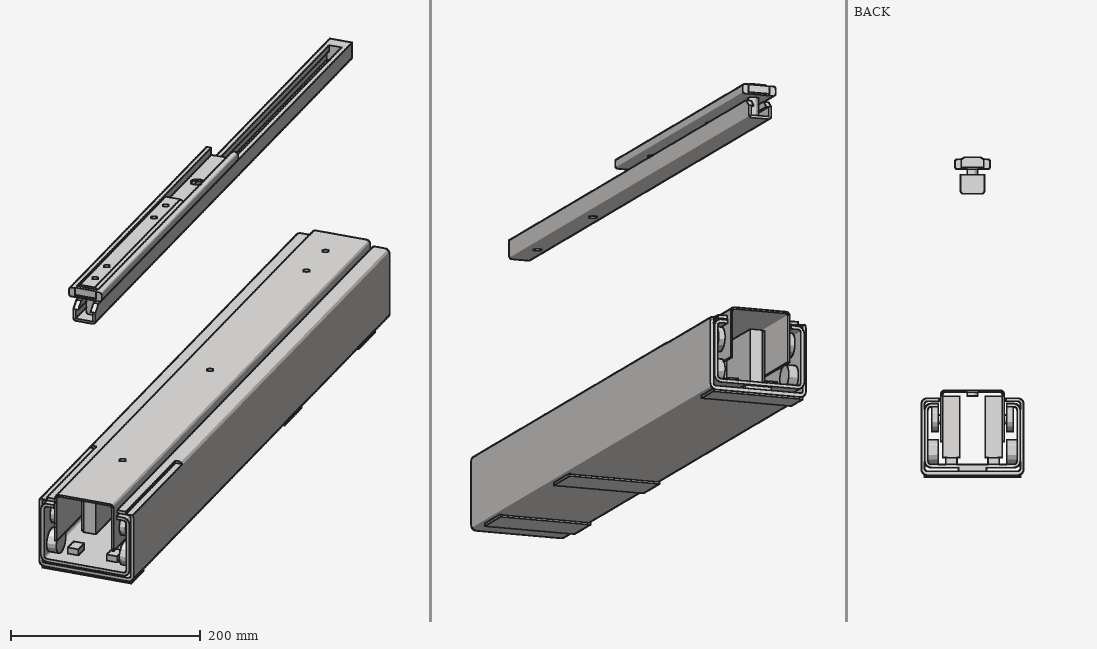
import cadquery as cq

TOTAL_LENGTH = 705.0
TOTAL_HEIGHT = 337.0
BACK_Y = TOTAL_LENGTH / 2
FRONT_Y = -TOTAL_LENGTH / 2

HOUSING_WIDTH = 108.0
HOUSING_FRONT_Y = -347.0
HOUSING_TOP = 83.0
HOUSING_WALL = 3.5
HOUSING_FLOOR = 4.0
HOUSING_RADIUS = 6.0
LIP_OPENING = 70.5
NOTCH_BACK_Y = -211.5
NOTCH_BOTTOM = 80.5
NOTCH_INNER_X = 45.0
FOOT_HEIGHT = 2.0
FOOT_WIDTH = 101.5
FOOT_SPANS = [(274.5, 321.0), (73.0, 119.0), (-346.0, -312.5)]

LINER_WIDTH = HOUSING_WIDTH - 2 * HOUSING_WALL
LINER_FRONT_Y = -350.5
LINER_BOTTOM = 10.0
LINER_TOP = 77.5
LINER_WALL = 3.5
LINER_RADIUS = 7.0
LINER_OPENING = 72.0
PAD_WIDTH = 29.5
LUG_INNER_X = 16.0
LUG_OUTER_X = 28.0
LUG_TOP = 20.5
LUG_SPAN = (-330.0, -314.0)

CHANNEL_WIDTH = 67.0
CHANNEL_TOP = 92.0
CHANNEL_BOTTOM = 37.5
CHANNEL_WALL = 2.0
CHANNEL_RADIUS = 5.0
CHANNEL_BACK_Y = 348.5
BOSS_DIAMETER = 11.0
BOSS_HEIGHT = 4.0
CHANNEL_HOLE_DIAMETER = 7.0
CHANNEL_HOLE_YS = [-248.0, -9.0, 254.0, 306.0]

ROLLER_DIAMETER = 26.0
ROLLER_INNER_X = 36.0
ROLLER_OUTER_X = 43.0
ROLLER_Y = -330.0
AXLE_DIAMETER = 9.0
LOWER_ROLLER_Z = LINER_BOTTOM + LINER_WALL + ROLLER_DIAMETER / 2
UPPER_ROLLER_Z = LINER_TOP - LINER_WALL - ROLLER_DIAMETER / 2

BLOCK_INNER_X = 13.5
BLOCK_OUTER_X = CHANNEL_WIDTH / 2 - CHANNEL_WALL
BLOCK_FRONT_Y = -289.0
BLOCK_BOTTOM = 20.5
BLOCK_TOP = 85.0
BLOCK_CHAMFER = 4.0

RAIL_WIDTH = 25.5
RAIL_BOTTOM = 298.5
RAIL_TOP = 319.0
RAIL_WALL = 3.0
RAIL_RADIUS = 3.5
RAIL_OPENING = 14.0
RAIL_LIP_DEPTH = 7.0
RAIL_PLUG_LENGTH = 15.5
RAIL_RAMP_LENGTH = 8.5
RAIL_HOLE_DIAMETER = 9.0
RAIL_HOLE_YS = [298.0, 136.0]

SLIDE_WIDTH = 37.5
SLIDE_BOTTOM = 324.5
SLIDE_TOP = 335.0
SLIDE_FLOOR = 2.0
SLIDE_RADIUS = 3.0
SLIDE_BACK_Y = 22.5
SLIDE_FRONT_Y = -350.0
TRACK_WIDTH = 24.0
TRACK_HOLE_DIAMETER = 14.0
TRACK_HOLE_Y = -44.5
PLATE_BACK_Y = -111.0
PLATE_FRONT_Y = -344.0
PLATE_TOP_WIDTH = 17.0
STOP_LENGTH = 4.0
PLATE_HOLE_DIAMETER = 6.5
PLATE_HOLE_DEPTH = 5.5
PLATE_HOLE_YS = [-130.5, -162.0, -291.0, -323.0]
STUD_DIAMETER = 11.0
STUD_YS = [-209.5, -332.0]


def block(x_span, y_span, z_span):
    """Axis-parallel block between pairs of coordinates."""
    (x0, x1), (y0, y1), (z0, z1) = x_span, y_span, z_span
    return cq.Workplane("XY").box(x1 - x0, y1 - y0, z1 - z0, centered=False).translate((x0, y0, z0))


def wide_block(width, y_span, z_span):
    """Block centred on X = 0."""
    return block((-width / 2, width / 2), y_span, z_span)


def upright_cylinder(diameter, y, z_span):
    """Vertical cylinder on the plane of symmetry."""
    bottom, top = z_span
    return cq.Workplane("XY", origin=(0, y, bottom)).circle(diameter / 2).extrude(top - bottom)


def cross_cylinder(diameter, x_span, y, z):
    """Cylinder along X."""
    return cq.Workplane("YZ", origin=(x_span[0], y, z)).circle(diameter / 2).extrude(x_span[1] - x_span[0])


def on_side(shape, mirrored):
    """Shape as built on the +X side, or its mirror image on the -X side."""
    return shape.mirror("YZ") if mirrored else shape


def make_roller(x_span, z):
    """Roller disc on the +X side."""
    return cross_cylinder(ROLLER_DIAMETER, x_span, ROLLER_Y, z)


def lipped_channel(width, y_span, z_span, wall, floor, radius, opening):
    """Rounded sheet channel along Y with a top slot between two inward lips."""
    bottom, top = z_span
    tube = wide_block(width, y_span, z_span).edges("|Y").fillet(radius)
    hollow = wide_block(width - 2 * wall, y_span, (bottom + floor, top - wall))
    hollow = hollow.edges("|Y").fillet(radius - wall)
    slot = wide_block(opening, y_span, (top - 2 * wall, top))
    return tube.cut(hollow).cut(slot)


def make_housing():
    body = lipped_channel(
        HOUSING_WIDTH,
        (HOUSING_FRONT_Y, BACK_Y),
        (FOOT_HEIGHT, HOUSING_TOP),
        HOUSING_WALL,
        HOUSING_FLOOR,
        HOUSING_RADIUS,
        LIP_OPENING,
    )
    for x_span in [(-HOUSING_WIDTH / 2, -NOTCH_INNER_X), (NOTCH_INNER_X, HOUSING_WIDTH / 2)]:
        body = body.cut(block(x_span, (HOUSING_FRONT_Y, NOTCH_BACK_Y), (NOTCH_BOTTOM, HOUSING_TOP)))
    for y_span in FOOT_SPANS:
        body = body.union(wide_block(FOOT_WIDTH, y_span, (0, FOOT_HEIGHT + HOUSING_FLOOR / 2)))
    return body


def make_liner():
    y_span = (LINER_FRONT_Y, BACK_Y)
    body = lipped_channel(
        LINER_WIDTH, y_span, (LINER_BOTTOM, LINER_TOP), LINER_WALL, LINER_WALL, LINER_RADIUS, LINER_OPENING
    )
    pad_span = (HOUSING_FRONT_Y, BACK_Y)
    body = body.union(wide_block(PAD_WIDTH, pad_span, (FOOT_HEIGHT + HOUSING_FLOOR, LINER_BOTTOM)))
    wall_x = LINER_WIDTH / 2 - LINER_WALL / 2
    for mirrored in (False, True):
        body = body.union(on_side(make_roller((ROLLER_INNER_X, wall_x), LOWER_ROLLER_Z), mirrored))
        lug = block((LUG_INNER_X, LUG_OUTER_X), LUG_SPAN, (LINER_BOTTOM + LINER_WALL / 2, LUG_TOP))
        body = body.union(on_side(lug, mirrored))
    return body


def make_inner_channel():
    y_span = (FRONT_Y, CHANNEL_BACK_Y)
    roof_underside = CHANNEL_TOP - CHANNEL_WALL
    body = wide_block(CHANNEL_WIDTH, y_span, (CHANNEL_BOTTOM, CHANNEL_TOP))
    body = body.edges("|Y and >Z").fillet(CHANNEL_RADIUS)
    hollow = wide_block(CHANNEL_WIDTH - 2 * CHANNEL_WALL, y_span, (CHANNEL_BOTTOM, roof_underside))
    body = body.cut(hollow.edges("|Y and >Z").fillet(CHANNEL_RADIUS - CHANNEL_WALL))
    for y in CHANNEL_HOLE_YS:
        boss_bottom = roof_underside - BOSS_HEIGHT
        body = body.union(upright_cylinder(BOSS_DIAMETER, y, (boss_bottom, roof_underside)))
        body = body.cut(upright_cylinder(CHANNEL_HOLE_DIAMETER, y, (boss_bottom, CHANNEL_TOP)))
    axle_span = (CHANNEL_WIDTH / 2 - CHANNEL_WALL, ROLLER_INNER_X)
    axle = cross_cylinder(AXLE_DIAMETER, axle_span, ROLLER_Y, UPPER_ROLLER_Z)
    roller = axle.union(make_roller((ROLLER_INNER_X, ROLLER_OUTER_X), UPPER_ROLLER_Z))
    for mirrored in (False, True):
        body = body.union(on_side(roller, mirrored))
    return body


def make_side_block(mirrored):
    """Plain bar against the channel wall, chamfered at its outer front edge."""
    bar = block((BLOCK_INNER_X, BLOCK_OUTER_X), (BLOCK_FRONT_Y, CHANNEL_BACK_Y), (BLOCK_BOTTOM, BLOCK_TOP))
    return on_side(bar.edges("|Z and >X and <Y").chamfer(BLOCK_CHAMFER), mirrored)


def make_rail():
    y_span = (FRONT_Y, CHANNEL_BACK_Y)
    body = wide_block(RAIL_WIDTH, y_span, (RAIL_BOTTOM, RAIL_TOP)).edges("|Y and <Z").fillet(RAIL_RADIUS)
    hollow_span = (FRONT_Y, CHANNEL_BACK_Y - RAIL_PLUG_LENGTH)
    floor_top = RAIL_BOTTOM + RAIL_WALL
    hollow = wide_block(RAIL_WIDTH - 2 * RAIL_WALL, hollow_span, (floor_top, RAIL_TOP - RAIL_LIP_DEPTH))
    slot = wide_block(RAIL_OPENING, hollow_span, (floor_top, RAIL_TOP))
    body = body.cut(hollow).cut(slot)
    for y in RAIL_HOLE_YS:
        body = body.cut(upright_cylinder(RAIL_HOLE_DIAMETER, y, (RAIL_BOTTOM, floor_top)))
    ramp = (
        cq.Workplane("YZ", origin=(-RAIL_WIDTH / 2, 0, 0))
        .moveTo(FRONT_Y, RAIL_TOP)
        .lineTo(FRONT_Y + RAIL_RAMP_LENGTH, RAIL_TOP)
        .lineTo(FRONT_Y, RAIL_TOP - RAIL_LIP_DEPTH)
        .close()
        .extrude(RAIL_WIDTH)
    )
    return body.cut(ramp)


def make_slide():
    y_span = (SLIDE_FRONT_Y, SLIDE_BACK_Y)
    floor_top = SLIDE_BOTTOM + SLIDE_FLOOR
    body = wide_block(SLIDE_WIDTH, y_span, (SLIDE_BOTTOM, SLIDE_TOP)).edges("|Y").fillet(SLIDE_RADIUS)
    body = body.cut(wide_block(TRACK_WIDTH, y_span, (floor_top, SLIDE_TOP)))
    stop_span = (PLATE_FRONT_Y - STOP_LENGTH, PLATE_FRONT_Y)
    body = body.union(wide_block(TRACK_WIDTH, stop_span, (floor_top, SLIDE_TOP)))
    plate = (
        cq.Workplane("XZ", origin=(0, PLATE_BACK_Y, 0))
        .moveTo(-TRACK_WIDTH / 2, floor_top)
        .lineTo(TRACK_WIDTH / 2, floor_top)
        .lineTo(TRACK_WIDTH / 2, SLIDE_TOP)
        .lineTo(PLATE_TOP_WIDTH / 2, TOTAL_HEIGHT)
        .lineTo(-PLATE_TOP_WIDTH / 2, TOTAL_HEIGHT)
        .lineTo(-TRACK_WIDTH / 2, SLIDE_TOP)
        .close()
        .extrude(PLATE_BACK_Y - PLATE_FRONT_Y)
    )
    body = body.union(plate)
    body = body.cut(upright_cylinder(TRACK_HOLE_DIAMETER, TRACK_HOLE_Y, (SLIDE_BOTTOM, floor_top)))
    for y in PLATE_HOLE_YS:
        hole = upright_cylinder(PLATE_HOLE_DIAMETER, y, (TOTAL_HEIGHT - PLATE_HOLE_DEPTH, TOTAL_HEIGHT))
        body = body.cut(hole)
    for y in STUD_YS:
        body = body.union(upright_cylinder(STUD_DIAMETER, y, (RAIL_BOTTOM + RAIL_WALL, floor_top)))
    return body


housing = make_housing()
liner = make_liner()
inner_channel = make_inner_channel()
side_blocks = [make_side_block(mirrored) for mirrored in (False, True)]
rail = make_rail()
slide = make_slide()

result = cq.Compound.makeCompound(
    [
        housing.val(),
        liner.val(),
        inner_channel.val(),
        *[side_block.val() for side_block in side_blocks],
        rail.val(),
        slide.val(),
    ]
)